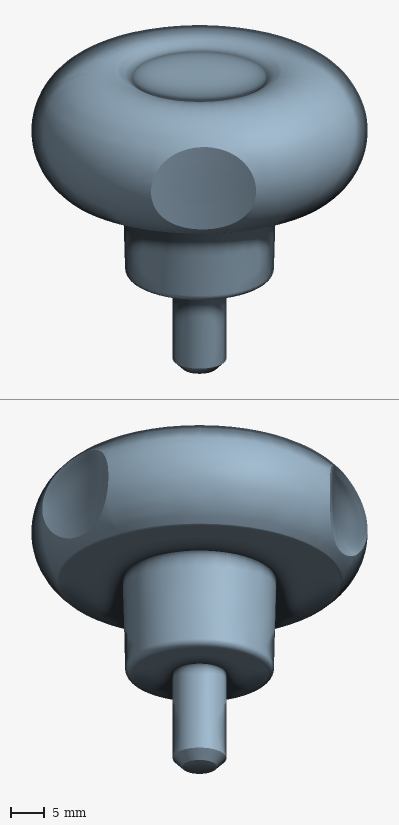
import cadquery as cq
import math

tube_radius = 10.0
ring_radius = 15.0
head_radius = ring_radius + tube_radius
head_height = 17.9
underside_fillet = 0.5
dish_radius = 10.0

boss_height = 15.1
boss_top_radius = 11.45
boss_bottom_radius = 11.05
boss_edge_fillet = 1.0

stud_radius = 8.0 / 2
stud_length = 15.0
stud_tip_chamfer = 1.4

scallop_radius = 25.0
scallop_floor = 22.5
scallop_angles = (90, 210, 340)

head_bottom = boss_height
head_top = head_bottom + head_height
tube_center = head_top - tube_radius


def tube_height(radius):
    """Half-height of the tube at the given distance from the Z axis."""
    return math.sqrt(tube_radius**2 - (radius - ring_radius) ** 2)


def make_head():
    """Revolved head with a flat floor dished into the top and a flat, round-edged underside."""
    underside_drop = tube_center - head_bottom
    underside_radius = ring_radius + math.sqrt(tube_radius**2 - underside_drop**2)
    dish_level = tube_center + tube_height(dish_radius)
    profile = (
        cq.Workplane("XZ")
        .moveTo(0, head_bottom)
        .lineTo(underside_radius, head_bottom)
        .threePointArc((head_radius, tube_center), (dish_radius, dish_level))
        .lineTo(0, dish_level)
        .close()
    )
    head = profile.revolve(360, (0, 0, 0), (0, 1, 0))
    return head.faces("<Z").edges().fillet(underside_fillet)


def make_scallop(angle):
    """Upright cylinder that hollows the rim in the given direction."""
    axis_distance = scallop_floor + scallop_radius
    direction = math.radians(angle)
    return (
        cq.Workplane("XY", origin=(0, 0, head_bottom))
        .center(axis_distance * math.cos(direction), axis_distance * math.sin(direction))
        .circle(scallop_radius)
        .extrude(head_height)
    )


def make_boss():
    """Boss that narrows downwards and is rounded at its lower edge."""
    profile = (
        cq.Workplane("XZ")
        .lineTo(boss_bottom_radius, 0)
        .lineTo(boss_top_radius, head_bottom)
        .lineTo(0, head_bottom)
        .close()
    )
    boss = profile.revolve(360, (0, 0, 0), (0, 1, 0))
    return boss.faces("<Z").edges().fillet(boss_edge_fillet)


def make_stud():
    """Plain stud with a chamfered tip."""
    stud = cq.Workplane("XY").circle(stud_radius).extrude(-stud_length)
    return stud.faces("<Z").edges().chamfer(stud_tip_chamfer)


knob = make_head()
for scallop_angle in scallop_angles:
    knob = knob.cut(make_scallop(scallop_angle))

result = knob.union(make_boss()).union(make_stud())